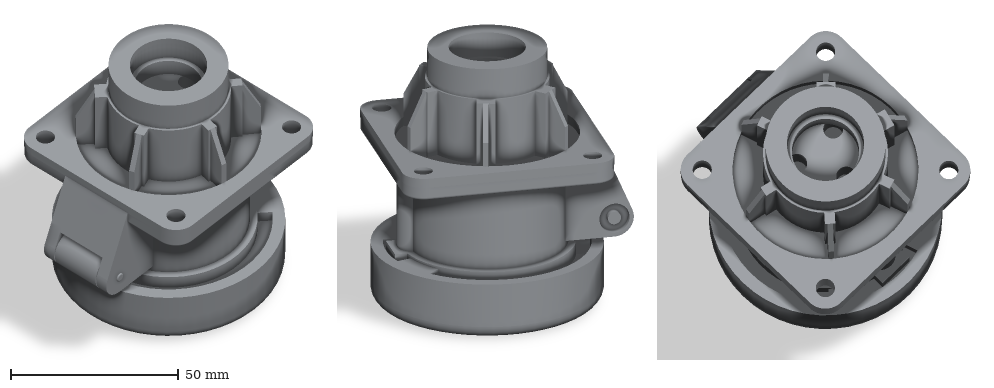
import cadquery as cq
import math

lid_bottom = 0.3
lid_top = 17.95
collar_top = 18.75
flange_bottom = 46.3
recess_floor = 50.3
flange_top = 53.2
fin_knee = 60.7
fin_top = 71.1
part_top = 80.5

lid_diameter = 69.8
lid_radius = lid_diameter / 2
lid_edge_fillet = 3.95
groove_radius = 31.15
groove_depth = 3.5
tab_angles = (107, 133)
pad_length = 29.55
pad_width = 17.8

body_radius = 24.4
collar_radius = 26.65
latch_width = 11.3
latch_reach = 29.8
spine_radius = 4.8
spine_reach = 27.7

flange_side = 65.05
flange_lower_side = 64.9
flange_corner = 6.6
flange_fillet = 0.8
recess_radius = 27.8
mount_hole_diameter = 5.7
mount_hole_spacing = 52.1

tube_radius = 17.95
shoulder_radius = 18.7
bore_diameter = 23.1
bore_depth = 7.65
inner_bore_radius = 10.1
inner_bore_depth = 13.0
contact_radius = 3.0
contact_circle = 8.8
contact_depth = 8.05
contact_angles = (90, 210, 330)

fin_thickness = 1.7
fin_radius = recess_radius
root_radius = 22.1
narrow_root = 3.1
wide_root = 5.7
fins = (
    (48.7, narrow_root),
    (108.9, narrow_root),
    (165.2, wide_root),
    (224.8, wide_root),
    (288.2, narrow_root),
    (348.2, narrow_root),
)

bracket_width = 24.9
bracket_back = -21.0
bracket_top = recess_floor
bracket_top_y = -flange_lower_side / 2
total_depth = 76.95
hinge_radius = 5.95
hinge_y = lid_radius - total_depth + hinge_radius
hinge_z = 26.8
knuckle_width = 16.3
notch_width = 16.9
notch_radius = 7.65
leaf_back = -26.0
leaf_front = -29.6
leaf_root_width = 15.8
pin_radius = 2.0
pin_seat_diameter = 9.25
pin_seat_depth = 2.0
pin_head_radius = 1.4
pin_head_height = 0.5
pin_head_fillet = 0.4


def disc(radius, bottom, top):
    """Upright cylinder on the main axis."""
    return cq.Workplane("XY").workplane(offset=bottom).circle(radius).extrude(top - bottom)


def box(x0, x1, y0, y1, z0, z1):
    """Box between two corners."""
    return cq.Workplane("XY").box(x1 - x0, y1 - y0, z1 - z0, centered=False).translate((x0, y0, z0))


def hinge_cylinder(radius, x0, x1):
    """Cylinder along the hinge axis."""
    plane = cq.Workplane("YZ", origin=(x0, 0, 0))
    return plane.center(hinge_y, hinge_z).circle(radius).extrude(x1 - x0)


def on_circle(radius, angle):
    """Point at an angle in degrees on a circle around the main axis."""
    turn = math.radians(angle)
    return (radius * math.cos(turn), radius * math.sin(turn))


def make_lid():
    """Round lid with a groove in its top, bridged by a tab on each side of the latch."""
    lid = disc(lid_radius, lid_bottom, lid_top).faces("<Z").edges().fillet(lid_edge_fillet)
    groove_floor = lid_top - groove_depth
    lid = lid.cut(disc(groove_radius, groove_floor, lid_top))

    start, end = tab_angles
    tab = (
        cq.Workplane("XY")
        .workplane(offset=groove_floor)
        .moveTo(*on_circle(body_radius, start))
        .lineTo(*on_circle(groove_radius, start))
        .threePointArc(on_circle(groove_radius, (start + end) / 2), on_circle(groove_radius, end))
        .lineTo(*on_circle(body_radius, end))
        .close()
        .extrude(groove_depth)
    )
    bottom_pad = box(-pad_length / 2, pad_length / 2, -pad_width / 2, pad_width / 2, 0, lid_edge_fillet)
    return lid.union(tab).union(tab.mirror("YZ")).union(bottom_pad)


def make_body():
    """Round body with its collar, a latch step on the collar and a rounded spine above it."""
    groove_floor = lid_top - groove_depth
    body = disc(body_radius, groove_floor, flange_bottom)
    collar = disc(collar_radius, groove_floor, collar_top)
    latch = box(-latch_width / 2, latch_width / 2, 0, latch_reach, groove_floor, collar_top)
    spine = disc(spine_radius, groove_floor, flange_bottom)
    spine = spine.translate((0, spine_reach - spine_radius, 0))
    return body.union(collar).union(latch).union(spine)


def rounded_plate(side, bottom, top):
    """Square plate with rounded corners."""
    plate = cq.Workplane("XY").workplane(offset=bottom).rect(side, side).extrude(top - bottom)
    return plate.edges("|Z").fillet(flange_corner)


def make_flange():
    """Mounting flange of two stacked plates, the upper one a ring, with four corner holes."""
    lower = rounded_plate(flange_lower_side, flange_bottom, recess_floor)
    lower = lower.faces("<Z").edges().fillet(flange_fillet)
    upper = rounded_plate(flange_side, recess_floor, flange_top)
    upper = upper.cut(disc(recess_radius, recess_floor, flange_top))
    flange = lower.union(upper)
    holes = (
        cq.Workplane("XY")
        .workplane(offset=flange_bottom)
        .rect(mount_hole_spacing, mount_hole_spacing, forConstruction=True)
        .vertices()
        .circle(mount_hole_diameter / 2)
        .extrude(flange_top - flange_bottom)
    )
    return flange.cut(holes)


def make_fin(angle, root_width):
    """Sloped fin on a thicker root, turned to its place around the tube."""
    root = box(0, root_radius, -root_width / 2, root_width / 2, recess_floor, fin_top)
    blade = (
        cq.Workplane("XZ", origin=(0, fin_thickness / 2, 0))
        .moveTo(0, recess_floor)
        .lineTo(fin_radius, recess_floor)
        .lineTo(fin_radius, fin_knee)
        .lineTo(root_radius, fin_top)
        .lineTo(0, fin_top)
        .close()
        .extrude(fin_thickness)
    )
    return root.union(blade).rotate((0, 0, 0), (0, 0, 1), angle)


def make_tube():
    """Upper tube with its shoulder and fins."""
    tube = disc(tube_radius, recess_floor, part_top)
    tube = tube.union(disc(shoulder_radius, recess_floor, fin_top))
    for angle, root_width in fins:
        tube = tube.union(make_fin(angle, root_width))
    return tube


def make_bore():
    """Stepped bore with three contact holes in its floor."""
    bore = disc(bore_diameter / 2, part_top - bore_depth, part_top)
    floor = part_top - inner_bore_depth
    bore = bore.union(disc(inner_bore_radius, floor, part_top))
    for angle in contact_angles:
        x, y = on_circle(contact_circle, angle)
        bore = bore.union(disc(contact_radius, floor - contact_depth, floor).translate((x, y, 0)))
    return bore


def make_bracket():
    """Hinge bracket whose sloped front runs tangent into the rounded hinge end."""
    dy = bracket_top_y - hinge_y
    dz = bracket_top - hinge_z
    tangent = math.degrees(math.atan2(dz, dy) + math.acos(hinge_radius / math.hypot(dy, dz)))

    def on_hinge(angle):
        y, z = on_circle(hinge_radius, angle)
        return (hinge_y + y, hinge_z + z)

    bracket = (
        cq.Workplane("YZ", origin=(-bracket_width / 2, 0, 0))
        .moveTo(bracket_back, bracket_top)
        .lineTo(bracket_top_y, bracket_top)
        .lineTo(*on_hinge(tangent))
        .threePointArc(on_hinge((tangent + 270) / 2), on_hinge(270))
        .lineTo(bracket_back, hinge_z - hinge_radius)
        .close()
        .extrude(bracket_width)
    )
    half_notch = notch_width / 2
    notch = box(
        -half_notch, half_notch,
        hinge_y - notch_radius, leaf_back,
        hinge_z - notch_radius, hinge_z + notch_radius,
    )
    seat = hinge_cylinder(pin_seat_diameter / 2, -bracket_width / 2, -bracket_width / 2 + pin_seat_depth)
    return bracket.cut(notch).cut(seat)


def make_hinge():
    """Bracket, knuckle, the leaf down into the lid groove, and the pin through them."""
    groove_floor = lid_top - groove_depth
    half_knuckle = knuckle_width / 2
    half_bracket = bracket_width / 2
    knuckle = hinge_cylinder(hinge_radius, -half_knuckle, half_knuckle)
    arm = box(
        -half_knuckle, half_knuckle, hinge_y, leaf_back,
        hinge_z - hinge_radius, hinge_z + hinge_radius,
    )
    leaf = box(-half_knuckle, half_knuckle, leaf_front, leaf_back, groove_floor, hinge_z)
    leaf_root = box(
        -leaf_root_width / 2, leaf_root_width / 2, leaf_back, bracket_back,
        groove_floor, hinge_z,
    )
    pin = hinge_cylinder(pin_radius, -half_bracket, half_bracket)
    pin_head = hinge_cylinder(pin_head_radius, half_bracket, half_bracket + pin_head_height)
    pin_head = pin_head.faces(">X").edges().fillet(pin_head_fillet)
    hinge = make_bracket()
    for piece in (knuckle, arm, leaf, leaf_root, pin, pin_head):
        hinge = hinge.union(piece)
    return hinge


shell = make_lid().union(make_body()).union(make_flange()).union(make_tube())
result = shell.union(make_hinge()).cut(make_bore())